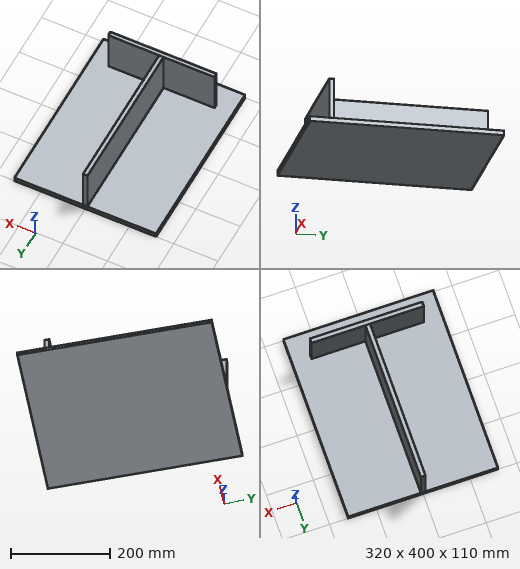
import cadquery as cq

sheet_thickness = 10.0
base_width = 320.0
base_length = 400.0
wall_height = 100.0
cross_plate_width = 240.0
front_margin = 48.0

base_front = -base_length / 2
cross_plate_front = base_front + front_margin
web_front = cross_plate_front + sheet_thickness
web_length = base_length / 2 - web_front


def make_plate(width, length, height, front, bottom):
    """Rectangular plate centred on X, extending back from 'front' and up from 'bottom'."""
    plate = cq.Workplane("XY").box(width, length, height, centered=(True, False, False))
    return plate.translate((0, front, bottom))


base = make_plate(base_width, base_length, sheet_thickness, base_front, 0)

cross_plate = make_plate(
    cross_plate_width, sheet_thickness, wall_height, cross_plate_front, sheet_thickness
)

web = make_plate(sheet_thickness, web_length, wall_height, web_front, sheet_thickness)

result = cq.Compound.makeCompound([base.val(), cross_plate.val(), web.val()])